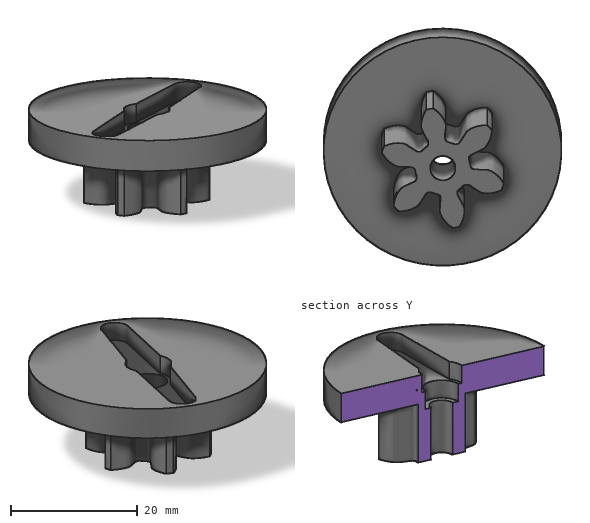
import cadquery as cq
import math

disc_diameter = 37.73
disc_thickness = 5.0
disc_offset_x = 0.15

recess_depth = 3.0
recess_hub_radius = 3.65
arm_tip_radius = 2.23
arm_reach = 17.8
arm_root_half_width = 2.83

bore_diameter = 4.0
counterbore_diameter = 6.0
counterbore_depth = 2 * recess_depth

tooth_count = 6
tip_radius = 10.0
pressure_angle = math.radians(20)
gear_height = 10.0
root_fillet = 0.8
flank_split_radius = 7.95
flank_samples = 5

gear_module = tip_radius / (tooth_count / 2 + 1)
pitch_radius = gear_module * tooth_count / 2
root_radius = pitch_radius - 1.25 * gear_module
base_radius = pitch_radius * math.cos(pressure_angle)
tooth_pitch = 2 * math.pi / tooth_count


def polar(radius, angle):
    return (radius * math.cos(angle), radius * math.sin(angle))


def involute(angle):
    return math.tan(angle) - angle


def tooth_half_angle(radius):
    """Half the angle a tooth spans at a radius on its involute flank."""
    roll = math.acos(min(1.0, base_radius / radius))
    return tooth_pitch / 4 + involute(pressure_angle) - involute(roll)


def flank(centre, side, inner_radius, outer_radius):
    """Involute points between two radii; side is -1 or +1."""
    points = []
    for i in range(flank_samples + 1):
        radius = inner_radius + (outer_radius - inner_radius) * (i / flank_samples) ** 2
        points.append(polar(radius, centre + side * tooth_half_angle(radius)))
    return points


def make_gear():
    fillet_centre_radius = root_radius + root_fillet
    fillet_top_radius = math.sqrt(fillet_centre_radius**2 - root_fillet**2)
    fillet_angle = math.asin(root_fillet / fillet_centre_radius)
    base_half_angle = tooth_half_angle(base_radius)
    root_half_angle = base_half_angle + fillet_angle

    def fillet_middle(centre, side):
        """Point of the fillet arc halfway between its two ends."""
        axis = centre + side * root_half_angle
        direction = axis - side * (3 * math.pi / 4 + fillet_angle / 2)
        centre_x, centre_y = polar(fillet_centre_radius, axis)
        step_x, step_y = polar(root_fillet, direction)
        return (centre_x + step_x, centre_y + step_y)

    first_centre = math.pi / 2
    outline = cq.Workplane("XY").moveTo(*polar(root_radius, first_centre - root_half_angle))
    for i in range(tooth_count):
        centre = first_centre + i * tooth_pitch
        rising_lower = flank(centre, -1, base_radius, flank_split_radius)
        rising_upper = flank(centre, -1, flank_split_radius, tip_radius)
        falling_upper = flank(centre, 1, flank_split_radius, tip_radius)[::-1]
        falling_lower = flank(centre, 1, base_radius, flank_split_radius)[::-1]
        outline = (
            outline
            .threePointArc(fillet_middle(centre, -1), polar(fillet_top_radius, centre - base_half_angle))
            .lineTo(*rising_lower[0])
            .spline(rising_lower[1:], includeCurrent=True)
            .spline(rising_upper[1:], includeCurrent=True)
            .threePointArc(polar(tip_radius, centre), falling_upper[0])
            .spline(falling_upper[1:], includeCurrent=True)
            .spline(falling_lower[1:], includeCurrent=True)
            .lineTo(*polar(fillet_top_radius, centre + base_half_angle))
            .threePointArc(fillet_middle(centre, 1), polar(root_radius, centre + root_half_angle))
            .threePointArc(
                polar(root_radius, centre + tooth_pitch / 2),
                polar(root_radius, centre + tooth_pitch - root_half_angle),
            )
        )
    return outline.close().extrude(gear_height)


def make_recess(top):
    """Round hub with two tapered, round-ended arms along Y."""
    floor = cq.Workplane("XY").workplane(offset=top - recess_depth)
    recess = floor.circle(recess_hub_radius).extrude(recess_depth)
    shoulder = arm_reach - arm_tip_radius
    arm_root = math.sqrt(recess_hub_radius**2 - arm_root_half_width**2)
    arms = (
        floor.moveTo(arm_root_half_width, -arm_root)
        .lineTo(arm_root_half_width, arm_root)
        .lineTo(arm_tip_radius, shoulder)
        .threePointArc((0, arm_reach), (-arm_tip_radius, shoulder))
        .lineTo(-arm_root_half_width, arm_root)
        .lineTo(-arm_root_half_width, -arm_root)
        .lineTo(-arm_tip_radius, -shoulder)
        .threePointArc((0, -arm_reach), (arm_tip_radius, -shoulder))
        .close()
        .extrude(recess_depth)
    )
    return recess.union(arms)


top = gear_height + disc_thickness
disc = (
    cq.Workplane("XY")
    .workplane(offset=gear_height)
    .center(disc_offset_x, 0)
    .circle(disc_diameter / 2)
    .extrude(disc_thickness)
)
bore = cq.Workplane("XY").circle(bore_diameter / 2).extrude(top)
counterbore = (
    cq.Workplane("XY")
    .workplane(offset=top - counterbore_depth)
    .circle(counterbore_diameter / 2)
    .extrude(counterbore_depth)
)

result = make_gear().union(disc).cut(make_recess(top)).cut(bore).cut(counterbore)